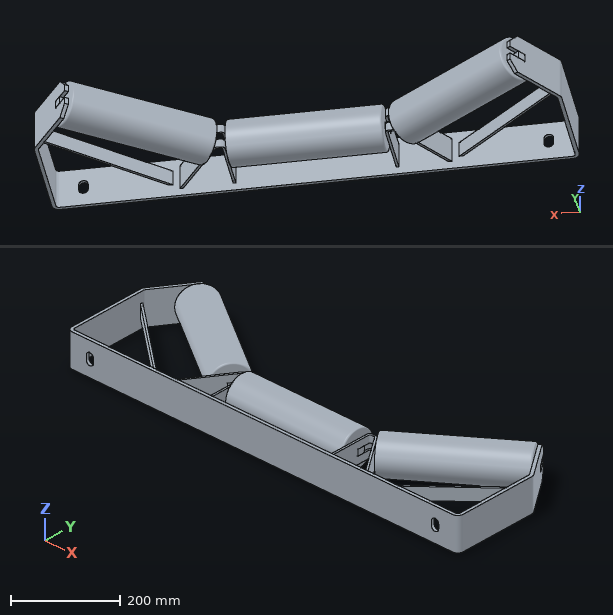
import cadquery as cq
import math

frame_width = 980.0
strip_height = 80.0
frame_thickness = 8.0
frame_bend_radius = 14.0
tip_reach = 30.0
tip_chamfer = 20.0
slot_hole_x = 432.0
slot_hole_width = 18.0
slot_hole_length = 27.0

roller_diameter = 89.0
roller_length = 292.0
roller_edge_radius = 4.0
support_spacing = 298.0
centre_roller_y = 100.0
side_roller_x = 303.0
side_roller_y = 196.0
tilt = 35.0
shaft_width = 15.0
shaft_depth = 18.0

bracket_height = 50.0
bracket_thickness = 5.0
bracket_bend_radius = 8.0
bracket_top = 128.0

brace_height = 30.0
brace_thickness = 5.0
brace_base_x = 269.5
brace_wall_y = 192.0

wall_inner_x = frame_width / 2 - frame_thickness
frame_middle_x = frame_width / 2 - frame_thickness / 2
half_spacing = support_spacing / 2
cos_tilt = math.cos(math.radians(tilt))
sin_tilt = math.sin(math.radians(tilt))


def side_point(outward, up):
    """Point near the right side roller, along its axis (outward) and square to it (up)."""
    x = side_roller_x + outward * cos_tilt - up * sin_tilt
    y = side_roller_y + outward * sin_tilt + up * cos_tilt
    return (x, y)


def place_on_side(body):
    """Move a body built about the origin, axis along X, to the right side roller's place."""
    return body.rotate((0, 0, 0), (0, 0, 1), tilt).translate((side_roller_x, side_roller_y, 0))


def mirror_x(body):
    return body.mirror("YZ")


def point_towards(start, target, distance):
    length = math.dist(start, target)
    return tuple(s + (t - s) * distance / length for s, t in zip(start, target))


def bent_strip(corners, thickness, outer_radius, height):
    """Flat bar standing on edge, its mid-line through the corners with a round bend at each."""
    bend_radius = outer_radius - thickness / 2
    path = cq.Workplane("XY").moveTo(*corners[0])
    for before, corner, after in zip(corners, corners[1:], corners[2:]):
        heading_in = math.atan2(corner[1] - before[1], corner[0] - before[0])
        heading_out = math.atan2(after[1] - corner[1], after[0] - corner[0])
        turn = abs(math.remainder(heading_out - heading_in, 2 * math.pi))
        setback = bend_radius * math.tan(turn / 2)
        path = path.lineTo(*point_towards(corner, before, setback))
        path = path.tangentArcPoint(point_towards(corner, after, setback), relative=False)
    path = path.lineTo(*corners[-1])

    (x0, y0), (x1, y1) = corners[:2]
    start = cq.Plane(origin=(x0, y0, 0), xDir=(0, 0, 1), normal=(x1 - x0, y1 - y0, 0))
    return cq.Workplane(start).rect(height, thickness).sweep(path)


def shaft_slot(thickness, depth):
    """Cutter for an open slot that holds a shaft at the origin and leaves upwards along Y."""
    return cq.Workplane("XY").box(thickness, depth + shaft_depth / 2, shaft_width).translate(
        (0, depth / 2 - shaft_depth / 4, 0)
    )


def make_frame():
    arm_middle = half_spacing + frame_thickness / 2
    tip = side_point(arm_middle, tip_reach)
    arm_foot = side_point(arm_middle, 0)
    shoulder_y = arm_foot[1] - (frame_middle_x - arm_foot[0]) * cos_tilt / sin_tilt
    right = [tip, (frame_middle_x, shoulder_y), (frame_middle_x, frame_thickness / 2)]
    left = [(-x, y) for x, y in reversed(right)]
    frame = bent_strip(right + left, frame_thickness, frame_bend_radius, strip_height)

    wedge = (
        cq.Workplane("YZ")
        .polyline([(0, 0), (-tip_chamfer, 0), (0, -tip_chamfer)])
        .close()
        .extrude(frame_thickness, both=True)
        .translate((arm_middle, tip_reach, strip_height / 2))
    )
    slot = shaft_slot(2 * frame_thickness, tip_reach).translate((arm_middle, 0, 0))
    for cutter in (wedge, wedge.mirror("XY"), slot):
        placed = place_on_side(cutter)
        frame = frame.cut(placed).cut(mirror_x(placed))

    holes = (
        cq.Workplane("XZ")
        .pushPoints([(-slot_hole_x, 0), (slot_hole_x, 0)])
        .slot2D(slot_hole_length, slot_hole_width, 90)
        .extrude(-frame_thickness)
    )
    return frame.cut(holes)


def make_roller(left_end, right_end):
    """Roller about the X axis; its shaft reaches left_end and right_end from the middle."""
    body = (
        cq.Workplane("YZ", origin=(-roller_length / 2, 0, 0))
        .circle(roller_diameter / 2)
        .extrude(roller_length)
        .edges("%CIRCLE")
        .fillet(roller_edge_radius)
    )
    shaft = cq.Workplane("XY").box(left_end + right_end, shaft_depth, shaft_width)
    return body.union(shaft.translate(((right_end - left_end) / 2, 0, 0)))


def make_bracket():
    """Right inner bracket: upright leg, short level top and a leg square to the side roller."""
    leg_middle = half_spacing + bracket_thickness / 2
    top_middle = bracket_top - bracket_thickness / 2
    support = side_point(-leg_middle, 0)

    def slanted_leg_x(y):
        return support[0] - (y - support[1]) * sin_tilt / cos_tilt

    corners = [
        (leg_middle, 0),
        (leg_middle, top_middle),
        (slanted_leg_x(top_middle), top_middle),
        (slanted_leg_x(0), 0),
    ]
    bracket = bent_strip(corners, bracket_thickness, bracket_bend_radius, bracket_height)

    below = cq.Workplane("XY").box(frame_width, 2 * frame_thickness, strip_height)
    bracket = bracket.cut(below)

    slot = shaft_slot(bracket_thickness, bracket_top - centre_roller_y)
    bracket = bracket.cut(slot.translate((leg_middle, centre_roller_y, 0)))
    bracket = bracket.cut(place_on_side(slot.translate((-leg_middle, 0, 0))))

    top_opening = cq.Workplane("XY").box(2 * support[0], 2 * bracket_bend_radius, shaft_width)
    return bracket.cut(top_opening.translate((0, bracket_top, 0)))


def make_brace():
    """Right diagonal brace, trimmed flush with the frame wall and the base."""
    foot = (brace_base_x, frame_thickness)
    head = (wall_inner_x, brace_wall_y)
    angle = math.degrees(math.atan2(head[1] - foot[1], head[0] - foot[0]))
    bar = (
        cq.Workplane("XY")
        .box(2 * math.dist(foot, head), brace_thickness, brace_height)
        .rotate((0, 0, 0), (0, 0, 1), angle)
        .translate((foot[0], foot[1], 0))
    )
    inside = cq.Workplane("XY").box(wall_inner_x, frame_width, strip_height).translate(
        (wall_inner_x / 2, frame_thickness + frame_width / 2, 0)
    )
    return bar.intersect(inside)


frame = make_frame()
bracket = make_bracket()
brace = make_brace()

inner_reach = half_spacing + bracket_thickness
outer_reach = half_spacing + frame_thickness
centre_roller = make_roller(inner_reach, inner_reach).translate((0, centre_roller_y, 0))
side_roller = place_on_side(make_roller(inner_reach, outer_reach))

bodies = [frame.val(), centre_roller.val()]
for right_body in (side_roller, bracket, brace):
    bodies.append(right_body.val())
    bodies.append(mirror_x(right_body).val())

result = cq.Compound.makeCompound(bodies)